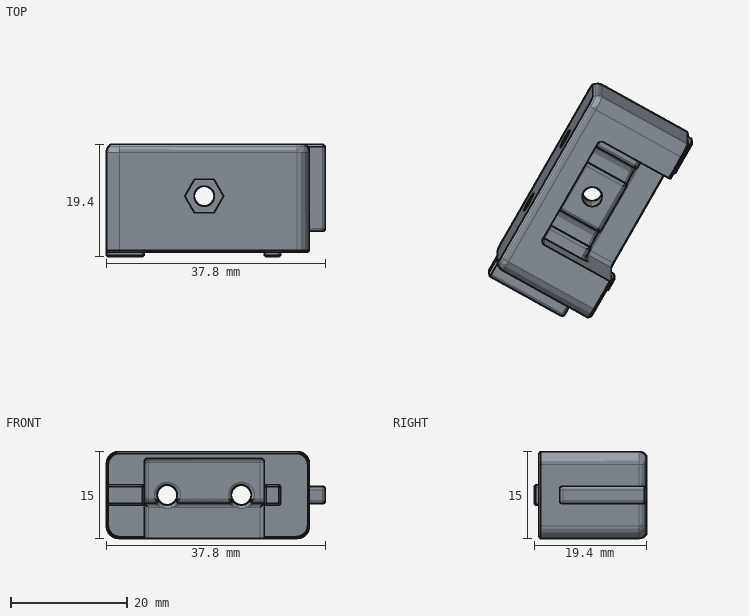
import cadquery as cq
import math

overall_length = 37.75

block_length = 35.0
block_depth = 18.6
block_height = 15.0
mid_height = block_height / 2
corner_radius = 2.2
front_chamfer = 0.35
back_chamfer = 0.75
back_rim_round = 1.45

pocket_left = 6.5
pocket_length = 20.72
pocket_right = pocket_left + pocket_length
pocket_middle = pocket_left + pocket_length / 2
roof_thickness = 1.15
pocket_top = block_height - roof_thickness
pocket_round = 0.75
ledge_height = 6.1
upper_depth = 5.32

hole_diameter = 3.4
hole_spacing = 12.75
hole_mouth_round = 0.55
screw_y = 9.65
nut_corner_diameter = 6.68
nut_depth = 3.5

lower_depth = 2 * screw_y - upper_depth

tab_projection = 0.8
tab_height = 3.5
tab_corner_round = 0.45
tab_chamfer = 0.3
right_tab_length = 2.8

rail_length = 15.02
rail_height = 3.02
rail_round = 0.55
rail_back_chamfer = 0.45

select_margin = 0.02


def box(x_min, x_max, y_min, y_max, z_min, z_max):
    """Axis-aligned box between the given limits."""
    size = (x_max - x_min, y_max - y_min, z_max - z_min)
    return cq.Workplane("XY").box(*size, centered=False).translate((x_min, y_min, z_min))


def edges_within(part, x_limits, y_limits, z_limits):
    """Edges that lie completely between the given limits, give or take the select margin."""
    limits = (x_limits, y_limits, z_limits)
    low = [pair[0] - select_margin for pair in limits]
    high = [pair[1] + select_margin for pair in limits]
    return part.edges(cq.selectors.BoxSelector(low, high, boundingbox=True))


def make_block():
    """Round-cornered block, chamfered at the front and both chamfered and rounded at the back."""
    block = box(0, block_length, 0, block_depth, 0, block_height)
    block = block.edges("|Y").fillet(corner_radius)
    block = block.faces("<Y").chamfer(front_chamfer)
    block = block.faces(">Y").chamfer(back_chamfer)
    rim_y = block_depth - back_chamfer
    rim = edges_within(block, (0, block_length), (rim_y, rim_y), (0, block_height))
    return rim.fillet(back_rim_round)


def make_pocket():
    """Negative of the pocket: a shallow upper part and a deep undercut, with rounded inner corners."""
    upper = box(pocket_left, pocket_right, 0, upper_depth, 0, pocket_top)
    upper = upper.edges("|Y and >Z").fillet(pocket_round)
    upper = upper.edges(">Y and (not <Z)").fillet(pocket_round)
    undercut = box(pocket_left, pocket_right, 0, lower_depth, 0, ledge_height)
    undercut = undercut.edges(">Y and (not <Z)").fillet(pocket_round)
    return upper.union(undercut)


def cut_screw_holes(part):
    """Two holes through the back wall, rounded where they open into the pocket and the ledge."""
    radius = hole_diameter / 2
    holes = (
        cq.Workplane("XZ", origin=(pocket_middle, 0, mid_height))
        .rarray(hole_spacing, 0.38, 2, 1)
        .circle(radius)
        .extrude(-block_depth)
    )
    part = part.cut(holes)
    for side in (-1, 1):
        hole_x = pocket_middle + side * hole_spacing / 2
        mouth = edges_within(
            part,
            (hole_x - radius, hole_x + radius),
            (upper_depth, lower_depth),
            (mid_height - radius, mid_height + radius),
        )
        part = mouth.fillet(hole_mouth_round)
    return part


def make_ledge_rounding():
    """Material to remove so that the front edge of the ledge, with its curved ends, is rounded."""
    turn_y = upper_depth - pocket_round
    arc_inset = pocket_round * (1 - math.sqrt(0.5))
    edge = (
        cq.Workplane("XY", origin=(0, 0, ledge_height))
        .moveTo(pocket_left, turn_y)
        .threePointArc(
            (pocket_left + arc_inset, upper_depth - arc_inset),
            (pocket_left + pocket_round, upper_depth),
        )
        .lineTo(pocket_right - pocket_round, upper_depth)
        .threePointArc(
            (pocket_right - arc_inset, upper_depth - arc_inset),
            (pocket_right, turn_y),
        )
    )
    corner = (
        cq.Workplane("XZ", origin=(pocket_left, turn_y, ledge_height))
        .lineTo(-pocket_round, 0)
        .threePointArc((-arc_inset, arc_inset), (0, pocket_round))
        .close()
    )
    between_walls = box(pocket_left, pocket_right, 0, block_depth, 0, block_height)
    return corner.sweep(edge).intersect(between_walls)


def make_nut_recess():
    """Hexagonal recess in the top face with a screw hole down through the ledge."""
    top = cq.Workplane("XY", origin=(pocket_middle, screw_y, block_height))
    recess = top.polygon(6, nut_corner_diameter).extrude(-nut_depth)
    screw_hole = top.circle(hole_diameter / 2).extrude(-block_height)
    return recess.union(screw_hole)


def make_tab(x_min, x_max):
    """Front tab that also fills the edge chamfer of the block behind it."""
    z_min = mid_height - tab_height / 2
    tab = box(x_min, x_max, -tab_projection, front_chamfer, z_min, z_min + tab_height)
    tab = tab.edges("|Y").fillet(tab_corner_round)
    return tab.faces("<Y").chamfer(tab_chamfer)


def make_rail():
    """Rail with rounded front and outer edges and a chamfered back, rooted inside the block."""
    x_min = block_length - corner_radius
    y_min = block_depth - rail_length
    z_min = mid_height - rail_height / 2
    rail = box(x_min, overall_length, y_min, block_depth, z_min, z_min + rail_height)
    rail = rail.edges("(<Y or >X) and (not >Y)").fillet(rail_round)
    return rail.faces(">Y").edges("not <X").chamfer(rail_back_chamfer)


body = make_block().cut(make_pocket())
body = cut_screw_holes(body)
body = body.cut(make_ledge_rounding())
body = body.union(make_rail())
body = body.union(make_tab(0, pocket_left))
body = body.union(make_tab(pocket_right, pocket_right + right_tab_length))
result = body.cut(make_nut_recess())